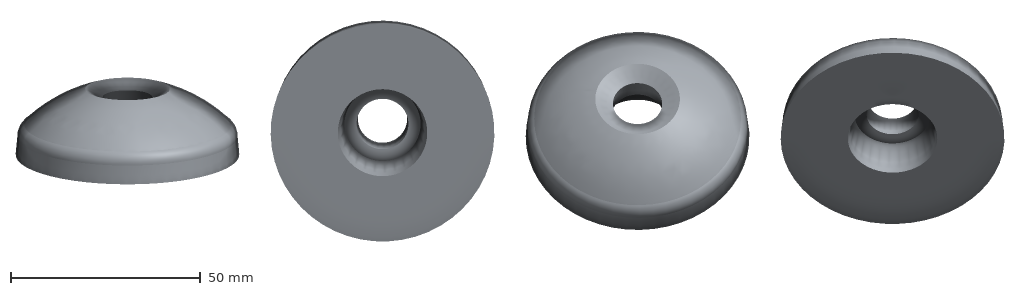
import cadquery as cq
import math

base_radius = 29.5
height = 18.0
top_radius = 11.15

rim_height = 5.0
rim_radius = 29.0
shoulder_height = 8.4
shoulder_radius = 27.25
shoulder_bulge = 0.55

crown_bulge = 1.05

hole_top_radius = 6.5
hole_bottom_radius = 6.85
countersink_depth = 2.2
counterbore_top_radius = 10.05
counterbore_bottom_radius = 11.8
counterbore_height = 9.85


def bulged_midpoint(start, end, bulge):
    """Point on an arc, pushed outward from the middle of its chord."""
    dr = end[0] - start[0]
    dz = end[1] - start[1]
    chord = math.hypot(dr, dz)
    mid_r = (start[0] + end[0]) / 2
    mid_z = (start[1] + end[1]) / 2
    return (mid_r + bulge * dz / chord, mid_z - bulge * dr / chord)


rim_top = (rim_radius, rim_height)
shoulder_top = (shoulder_radius, shoulder_height)
crown_top = (top_radius, height)

section = (
    cq.Workplane("YZ")
    .moveTo(counterbore_bottom_radius, 0)
    .lineTo(base_radius, 0)
    .lineTo(*rim_top)
    .threePointArc(bulged_midpoint(rim_top, shoulder_top, shoulder_bulge), shoulder_top)
    .threePointArc(bulged_midpoint(shoulder_top, crown_top, crown_bulge), crown_top)
    .lineTo(hole_top_radius, height - countersink_depth)
    .lineTo(hole_bottom_radius, counterbore_height)
    .lineTo(counterbore_top_radius, counterbore_height)
    .close()
)

result = section.revolve(360, (0, 0, 0), (0, 1, 0))